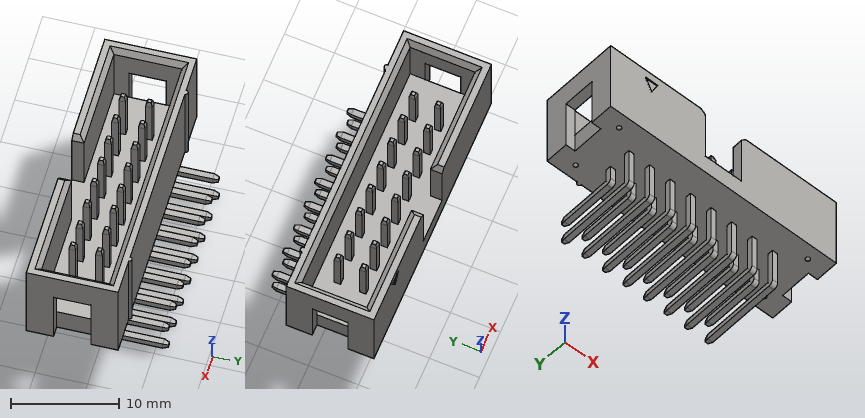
import cadquery as cq


length = 27.97
depth = 8.78
height = 8.85
wall = 1.12
front_wall = 1.17
floor_top = 2.35
mouth_chamfer = 0.5

slot_width = 4.48

window_width = 3.55
window_top = 5.95

mark_width = 1.48
mark_top = 7.8
mark_tip = 6.27
mark_depth = 0.1

rib_spacing = 19.97
rib_radius = 0.25

nub_spacing_x = 23.38
nub_spacing_y = 5.99
nub_radius = 0.25
nub_height = 0.17

columns = 8
pin_span = 17.8
pitch = pin_span / (columns - 1)
pin_size = 0.65
pin_top = 7.83
pin_end = 12.25
pin_bottom = -4.75
bend_radius = 0.5
tip_length = 0.5
tip_size = 0.35

mid_y = depth / 2
pin_xs = [-pin_span / 2 + i * pitch for i in range(columns)]


def make_opening(x_size, y_min, y_max):
    """Cutter for a rectangular recess down to the floor, with its top edges flared at 45 degrees."""
    y_size = y_max - y_min
    y_center = (y_min + y_max) / 2
    shaft = cq.Workplane("XY").box(x_size, y_size, height - floor_top, centered=(True, True, False))
    flare = (
        cq.Workplane("XY", origin=(0, 0, height - floor_top - mouth_chamfer))
        .rect(x_size, y_size)
        .workplane(offset=mouth_chamfer)
        .rect(x_size + 2 * mouth_chamfer, y_size + 2 * mouth_chamfer)
        .loft(ruled=True)
    )
    return shaft.union(flare).translate((0, y_center, floor_top))


def make_housing():
    """Open box with a key slot in its front wall."""
    body = cq.Workplane("XY").box(length, depth, height, centered=(True, False, False))
    cavity = make_opening(length - 2 * wall, front_wall, depth - wall)
    key_slot = make_opening(slot_width, -wall, mid_y)
    return body.cut(cavity).cut(key_slot)


def make_windows():
    """Cutters that open both end walls from the underside up to the window top."""
    block = cq.Workplane("XY").box(wall, window_width, window_top, centered=(True, True, False))
    offset = (length - wall) / 2
    left = block.translate((-offset, mid_y, 0))
    right = block.translate((offset, mid_y, 0))
    return left.union(right)


def make_pin_mark():
    """Triangular cutter pointing down at the first pin column."""
    x = pin_xs[0]
    outline = [(x - mark_width / 2, mark_top), (x + mark_width / 2, mark_top), (x, mark_tip)]
    return cq.Workplane("XZ").polyline(outline).close().extrude(-mark_depth)


def make_rib(x):
    """Round bar over the full height, half of it standing out of the back face."""
    return cq.Workplane("XY").center(x, depth).circle(rib_radius).extrude(height)


def make_nub(x, y):
    """Ball buried in the underside so that only a shallow dome stands out."""
    ball_radius = (nub_radius**2 + nub_height**2) / (2 * nub_height)
    return cq.Workplane("XY").sphere(ball_radius).translate((x, y, ball_radius - nub_height))


def make_tip(plane):
    """Pyramidal pin tip rising from the given plane."""
    return (
        cq.Workplane(plane)
        .rect(pin_size, pin_size)
        .workplane(offset=tip_length)
        .rect(tip_size, tip_size)
        .loft(ruled=True)
    )


def make_pin(x, y, bottom):
    """Pin standing at (x, y), bent at `bottom` to run out past the back face."""
    half = pin_size / 2
    post_top = pin_top - tip_length
    leg_end = pin_end - tip_length
    leg_z = bottom + half
    post = cq.Workplane("XY").box(pin_size, pin_size, post_top - bottom, centered=(True, True, False))
    post = post.translate((x, y, bottom))
    leg = cq.Workplane("XY").box(pin_size, leg_end - (y - half), pin_size, centered=(True, False, True))
    leg = leg.translate((x, y - half, leg_z))
    bend_edge = cq.selectors.NearestToPointSelector((x, y - half, bottom))
    pin = post.union(leg).edges(bend_edge).fillet(bend_radius)
    upper_tip = make_tip(cq.Plane(origin=(x, y, post_top), xDir=(1, 0, 0), normal=(0, 0, 1)))
    leg_tip = make_tip(cq.Plane(origin=(x, leg_end, leg_z), xDir=(1, 0, 0), normal=(0, 1, 0)))
    return pin.union(upper_tip).union(leg_tip)


result = make_housing().cut(make_windows()).cut(make_pin_mark())

for side in (-1, 1):
    result = result.union(make_rib(side * rib_spacing / 2))
    for row in (-1, 1):
        result = result.union(make_nub(side * nub_spacing_x / 2, mid_y + row * nub_spacing_y / 2))

for pin_x in pin_xs:
    result = result.union(make_pin(pin_x, mid_y - pitch / 2, pin_bottom))
    result = result.union(make_pin(pin_x, mid_y + pitch / 2, pin_bottom + pitch))